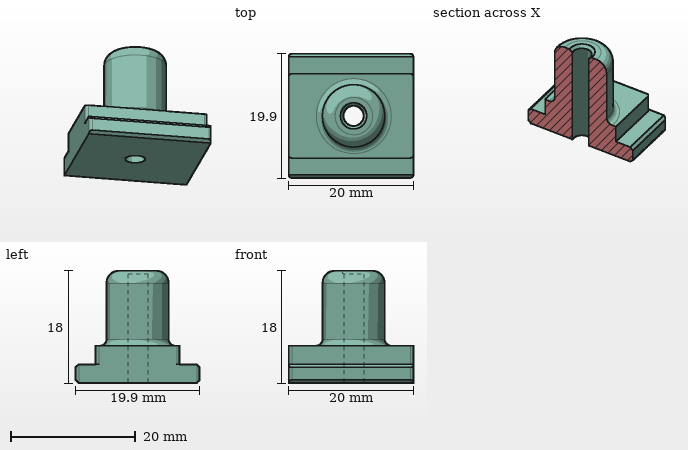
import cadquery as cq

base_length = 20
flange_width = 19.9
flange_height = 3
neck_width = 13.5
base_height = 6
corner_radius = 0.5
edge_chamfer = 0.5

boss_offset_x = 0.4
boss_diameter = 10
total_height = 18
boss_top_radius = 2
boss_root_radius = 1

bore_diameter = 3.2
bore_mouth_diameter = 4.2


def make_flange():
    """Wide lower step with rounded corners and chamfered long edges."""
    rounded = (
        cq.Workplane("XY")
        .rect(base_length, flange_width)
        .extrude(flange_height)
        .edges("|Z")
        .fillet(corner_radius)
    )
    chamfered = (
        cq.Workplane("XY")
        .box(base_length, flange_width, flange_height, centered=(True, True, False))
        .edges("|X")
        .chamfer(edge_chamfer)
    )
    return rounded.intersect(chamfered)


def make_neck():
    """Narrow upper step with rounded corners above the flange."""
    upper_step = (
        cq.Workplane("XY")
        .workplane(offset=flange_height)
        .rect(base_length, neck_width)
        .extrude(base_height - flange_height)
        .edges("|Z")
        .fillet(corner_radius)
    )
    return upper_step


def make_boss():
    """Domed post with a flared root, revolved about its own axis."""
    boss_radius = boss_diameter / 2
    root_radius = boss_radius + boss_root_radius
    profile = (
        cq.Workplane("XZ")
        .lineTo(root_radius, 0)
        .lineTo(root_radius, base_height)
        .radiusArc((boss_radius, base_height + boss_root_radius), boss_root_radius)
        .lineTo(boss_radius, total_height - boss_top_radius)
        .radiusArc((boss_radius - boss_top_radius, total_height), -boss_top_radius)
        .lineTo(0, total_height)
        .close()
    )
    return profile.revolve(360, (0, 0), (0, 1)).translate((boss_offset_x, 0, 0))


def make_bore():
    """Through hole with a 45 degree countersunk mouth."""
    bore_radius = bore_diameter / 2
    mouth_radius = bore_mouth_diameter / 2
    mouth_depth = mouth_radius - bore_radius
    profile = (
        cq.Workplane("XZ")
        .lineTo(bore_radius, 0)
        .lineTo(bore_radius, total_height - mouth_depth)
        .lineTo(mouth_radius, total_height)
        .lineTo(0, total_height)
        .close()
    )
    return profile.revolve(360, (0, 0), (0, 1)).translate((boss_offset_x, 0, 0))


result = make_flange().union(make_neck()).union(make_boss()).cut(make_bore())